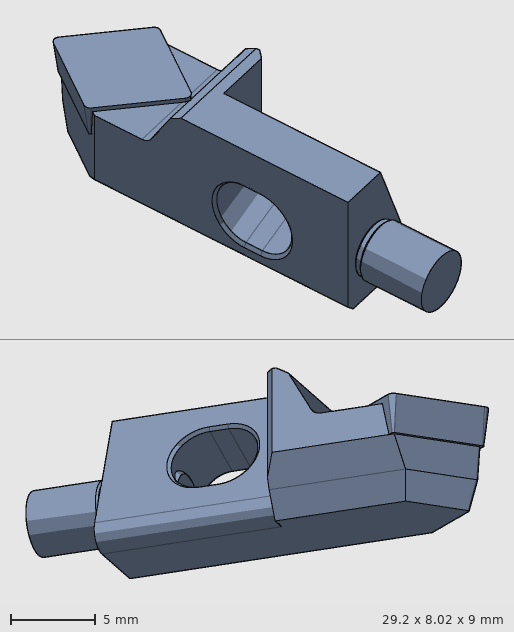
import cadquery as cq
import math


inscribed_circle = 6.35
nose_angle = 80.0
insert_thickness = 2.38
insert_top = 6.05
corner_radius = 0.4
clearance_angle = 7.0
front_edge_angle = 45.0
side_edge_angle = front_edge_angle - nose_angle
nose_x = -24.44
nose_y = 3.57
insert_bottom = insert_top - insert_thickness
insert_side = inscribed_circle / math.sin(math.radians(nose_angle))

holder_height = 9.0
head_width = 7.5
bottom_chamfer = 0.5
front_blank_x = -26.0

floor_height = 5.7
step_foot_x = -14.69
step_angle = 60.0
step_fillet = 0.75
crest_chamfer_angle = 30.0
crest_chamfer_height = 0.45

relief_break_height = 1.65
front_setback = 0.49
side_setback = 0.42
lower_relief_angle = 29.0
ridge_radius = 0.1
ridge_zone = 2.5
back_break_y = 6.74
back_bottom_y = 5.82

shank_length = 11.5
shank_foot_radius = 1.18
slope_top_y = 3.23
slope_angle = 20.0
head_corner_chamfer = 0.5

slot_x = -7.03
slot_z = 3.6
slot_diameter = 4.3
slot_straight = 1.2
slot_chamfer = 0.2

stud_y = 2.5
stud_z = 3.5
stud_diameter = 4.0
stud_length = 5.0
stud_tip_x = -4.53
stud_tip_chamfer = 0.35
neck_diameter = 3.75
neck_end_x = 0.42
neck_root_diameter = 3.55
neck_root_x = 0.1

rim_margin = 0.1
cut_reach = 30.0


def edge_direction(angle):
    return math.cos(math.radians(angle)), math.sin(math.radians(angle))


def insert_outline():
    """Sharp-cornered rhombus of the insert's top face."""
    fx, fy = edge_direction(front_edge_angle)
    sx, sy = edge_direction(side_edge_angle)
    nose = (nose_x, nose_y)
    front_corner = (nose_x + insert_side * fx, nose_y + insert_side * fy)
    side_corner = (nose_x + insert_side * sx, nose_y + insert_side * sy)
    back_corner = (front_corner[0] + insert_side * sx, front_corner[1] + insert_side * sy)
    return cq.Sketch().polygon([nose, side_corner, back_corner, front_corner, nose])


def relieved_block(outline):
    """Block under the outline that narrows downwards by the clearance angle."""
    return (
        cq.Workplane("XY", origin=(0, 0, insert_top))
        .placeSketch(outline)
        .extrude(-insert_thickness, taper=clearance_angle)
    )


def make_insert():
    return relieved_block(insert_outline().vertices().fillet(corner_radius))


def insert_seat():
    """Pocket volume for the insert, with sharp corners."""
    return relieved_block(insert_outline())


def holder_blank():
    """Stepped side outline carried across the width, with a rounded step foot."""
    crest_run = crest_chamfer_height / math.tan(math.radians(crest_chamfer_angle))
    crest_z = holder_height - crest_chamfer_height
    crest_x = step_foot_x + (crest_z - floor_height) / math.tan(math.radians(step_angle))
    tangent = step_fillet * math.tan(math.radians(step_angle / 2))
    sx, sz = edge_direction(step_angle)
    arc_centre = (step_foot_x - tangent, floor_height + step_fillet)
    mx, mz = edge_direction(-90 + step_angle / 2)
    return (
        cq.Workplane("XZ")
        .moveTo(front_blank_x, 0)
        .lineTo(0, 0)
        .lineTo(0, holder_height)
        .lineTo(crest_x + crest_run, holder_height)
        .lineTo(crest_x, crest_z)
        .lineTo(step_foot_x + tangent * sx, floor_height + tangent * sz)
        .threePointArc(
            (arc_centre[0] + step_fillet * mx, arc_centre[1] + step_fillet * mz),
            (step_foot_x - tangent, floor_height),
        )
        .lineTo(front_blank_x, floor_height)
        .close()
        .extrude(-head_width)
    )


def head_section():
    """Cross-section of the head, leaning in at the back below the insert."""
    return (
        cq.Workplane("YZ", origin=(front_blank_x, 0, 0))
        .polyline([
            (bottom_chamfer, 0),
            (back_bottom_y, 0),
            (back_break_y, relief_break_height),
            (head_width, insert_bottom),
            (head_width, holder_height),
            (0, holder_height),
            (0, bottom_chamfer),
        ])
        .close()
        .extrude(-front_blank_x - shank_length)
        .edges("|Z and >X and >Y")
        .chamfer(head_corner_chamfer)
    )


def shank_section():
    """Cross-section of the shank: a slope down the back, rounded into the underside."""
    slope_foot_y = slope_top_y + holder_height * math.tan(math.radians(slope_angle))
    return (
        cq.Workplane("YZ", origin=(-shank_length, 0, 0))
        .polyline([
            (bottom_chamfer, 0),
            (slope_foot_y, 0),
            (slope_top_y, holder_height),
            (0, holder_height),
            (0, bottom_chamfer),
        ])
        .close()
        .extrude(shank_length)
        .edges("|X and >Y")
        .fillet(shank_foot_radius)
    )


def front_envelope():
    """Space behind the two-stage front relief and the upright side relief."""
    fx, fy = edge_direction(front_edge_angle)
    sx, sy = edge_direction(side_edge_angle)
    upper_slope = math.tan(math.radians(clearance_angle))
    break_setback = front_setback + (insert_bottom - relief_break_height) * upper_slope
    foot_setback = break_setback + relief_break_height * math.tan(math.radians(lower_relief_angle))
    top_setback = front_setback - (holder_height - insert_bottom) * upper_slope
    front_plane = cq.Plane(origin=(nose_x, nose_y, 0), xDir=(fy, -fx, 0), normal=(-fx, -fy, 0))
    front = (
        cq.Workplane(front_plane)
        .polyline([
            (foot_setback, 0),
            (break_setback, relief_break_height),
            (top_setback, holder_height),
            (cut_reach, holder_height),
            (cut_reach, 0),
        ])
        .close()
        .extrude(cut_reach, both=True)
    )
    side_plane = cq.Plane(origin=(nose_x, nose_y, 0), xDir=(sx, sy, 0), normal=(0, 0, 1))
    side = (
        cq.Workplane(side_plane)
        .moveTo(-cut_reach, side_setback)
        .rect(2 * cut_reach, cut_reach, centered=False)
        .extrude(holder_height)
    )
    ridge = cq.selectors.BoxSelector(
        (nose_x, nose_y - ridge_zone, 0),
        (nose_x + ridge_zone, nose_y + ridge_zone, holder_height),
    )
    return front.intersect(side).edges(ridge).fillet(ridge_radius)


def slot_tool():
    """Round-ended slot running up through the shank towards +Y."""
    tilt = math.radians(slope_angle)
    plane = cq.Plane(
        origin=(slot_x, 0, slot_z), xDir=(1, 0, 0), normal=(0, math.cos(tilt), math.sin(tilt)))
    return (
        cq.Workplane(plane)
        .slot2D(slot_straight + slot_diameter, slot_diameter)
        .extrude(cut_reach, both=True)
    )


def make_stud():
    """Turned stud: chamfered tip standing into the slot, neck outside the shank end."""
    r = stud_diameter / 2
    neck_r = neck_diameter / 2
    root_r = neck_root_diameter / 2
    return (
        cq.Workplane("XZ", origin=(0, stud_y, stud_z))
        .polyline([
            (stud_tip_x, 0),
            (stud_tip_x, r - stud_tip_chamfer),
            (stud_tip_x + stud_tip_chamfer, r),
            (0, r),
            (0, root_r),
            (neck_root_x, neck_r),
            (neck_end_x, neck_r),
            (neck_end_x + r - neck_r, r),
            (stud_length, r),
            (stud_length, 0),
        ])
        .close()
        .revolve(360, (0, 0, 0), (1, 0, 0))
    )


def slot_rims(body):
    """Edges of the slot where it opens on the flat side and on the sloped back face."""
    tilt = math.radians(slope_angle)
    exit_y = (slope_top_y + (holder_height - slot_z) * math.tan(tilt)) * math.cos(tilt) ** 2
    exit_z = slot_z + exit_y * math.tan(tilt)
    half_length = (slot_straight + slot_diameter) / 2 + rim_margin
    half_height = slot_diameter / 2 / math.cos(tilt) + rim_margin
    exit_half_depth = slot_diameter / 2 * math.sin(tilt) + rim_margin
    side_opening = cq.selectors.BoxSelector(
        (slot_x - half_length, -rim_margin, slot_z - half_height),
        (slot_x + half_length, rim_margin, slot_z + half_height),
    )
    back_opening = cq.selectors.BoxSelector(
        (slot_x - half_length, exit_y - exit_half_depth, exit_z - half_height),
        (slot_x + half_length, exit_y + exit_half_depth, exit_z + half_height),
    )
    return body.edges(side_opening).vals() + body.edges(back_opening).vals()


def make_holder():
    """Holder with the stud as part of it, and a seat for the insert."""
    section = head_section().union(shank_section())
    body = holder_blank().intersect(section).intersect(front_envelope())
    body = body.cut(slot_tool())
    body = body.newObject(slot_rims(body)).chamfer(slot_chamfer)
    return body.cut(insert_seat()).union(make_stud())


holder = make_holder()
insert = make_insert()
result = cq.Compound.makeCompound([holder.solids().val(), insert.solids().val()])